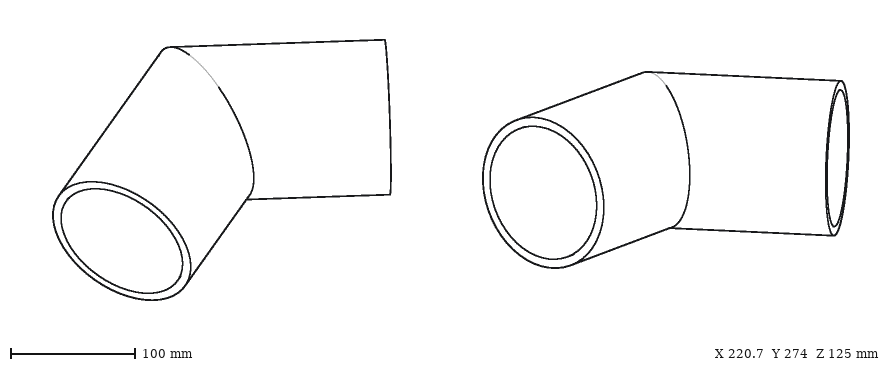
import cadquery as cq
import math

overall_length = 274.0
outer_diameter = 125.0
wall = 7.5
bend_angle = math.radians(60)

outer_radius = outer_diameter / 2
inner_radius = outer_radius - wall

end_face_reach = outer_radius * math.sin(bend_angle)
leg_length = (overall_length - end_face_reach) / (1 + math.cos(bend_angle))

inlet = (0, -leg_length)
joint = (0, 0)
outlet = (leg_length * math.sin(bend_angle), leg_length * math.cos(bend_angle))


def mitred_rod(radius):
    """Solid round bar along the centreline, mitred at the joint."""
    centreline = cq.Workplane("XY").polyline([inlet, joint, outlet])
    return (
        cq.Workplane("XZ", origin=(*inlet, 0))
        .circle(radius)
        .sweep(centreline, transition="right")
    )


result = mitred_rod(outer_radius).cut(mitred_rod(inner_radius))